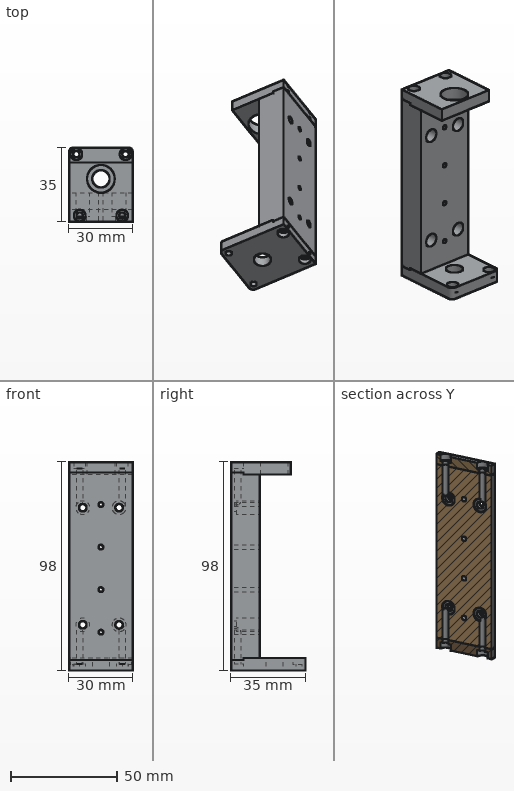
import cadquery as cq

width = 30.0
height = 98.0
column_depth = 13.5
top_plate_depth = 28.0
bottom_plate_depth = 35.0

plate_thickness = 6.0
step_height = 1.0
step_depth = 5.8
corner_radius = 2.2

screw_diameter = 2.9
screw_head_diameter = 5.5
screw_head_depth = 3.0
joint_screw_x = 10.0
joint_screw_y = 3.0
joint_hole_depth = 15.7
motor_screw_x = 11.6
motor_screw_y = bottom_plate_depth - 3.1

shaft_y = 20.3
top_bore_diameter = 13.0
bottom_bore_diameter = 8.0

mount_diameter = 3.4
mount_head_diameter = 6.5
mount_front_wall = 2.5
mount_x = 8.5
mount_z = 27.5

row_diameter = 2.1
row_count = 4
row_pitch = 20.0
row_center_z = -1.0

half_height = height / 2
shoulder_z = half_height - plate_thickness
tongue_z = shoulder_z + step_height


def box(x_size, y_start, y_end, z_start, z_end):
    """Box centred on X between the given Y and Z limits."""
    return cq.Workplane("XY").box(
        x_size, y_end - y_start, z_end - z_start, centered=(True, False, False)
    ).translate((0, y_start, z_start))


def rod_z(diameter, x, y, z_start, z_end):
    """Upright cylinder used as a cutter."""
    return cq.Workplane("XY", origin=(x, y, z_start)).circle(diameter / 2).extrude(z_end - z_start)


def rod_y(diameter, x, z, y_start, y_end):
    """Cylinder along Y used as a cutter."""
    cutter = cq.Workplane("XZ", origin=(x, y_start, z)).circle(diameter / 2)
    return cutter.extrude(y_start - y_end)


def make_plate_blank(depth):
    """Stepped plate at the top end with its counterbored joint screw holes."""
    plate = box(width, 0, depth, shoulder_z, half_height)
    plate = plate.cut(box(width, 0, step_depth, shoulder_z, tongue_z))
    for x in (-joint_screw_x, joint_screw_x):
        plate = plate.cut(rod_z(screw_diameter, x, joint_screw_y, shoulder_z, half_height))
        head_z = half_height - screw_head_depth
        plate = plate.cut(rod_z(screw_head_diameter, x, joint_screw_y, head_z, half_height))
    return plate


def make_top_plate():
    plate = make_plate_blank(top_plate_depth)
    return plate.cut(rod_z(top_bore_diameter, 0, shaft_y, shoulder_z, half_height))


def make_bottom_plate():
    plate = make_plate_blank(bottom_plate_depth).mirror("XY")
    plate = plate.edges("|Z and >Y").fillet(corner_radius)
    plate = plate.cut(rod_z(bottom_bore_diameter, 0, shaft_y, -half_height, -shoulder_z))
    for x in (-motor_screw_x, motor_screw_x):
        plate = plate.cut(rod_z(screw_diameter, x, motor_screw_y, -half_height, -shoulder_z))
        head_z = -shoulder_z - screw_head_depth
        plate = plate.cut(rod_z(screw_head_diameter, x, motor_screw_y, head_z, -shoulder_z))
    return plate


def make_column():
    column = box(width, 0, column_depth, -shoulder_z, shoulder_z)
    column = column.union(box(width, 0, step_depth, -tongue_z, tongue_z))

    for x in (-mount_x, mount_x):
        for z in (-mount_z, mount_z):
            column = column.cut(rod_y(mount_diameter, x, z, 0, column_depth))
            column = column.cut(rod_y(mount_head_diameter, x, z, mount_front_wall, column_depth))

    for x in (-joint_screw_x, joint_screw_x):
        hole_end_z = tongue_z - joint_hole_depth
        column = column.cut(rod_z(screw_diameter, x, joint_screw_y, hole_end_z, tongue_z))
        column = column.cut(rod_z(screw_diameter, x, joint_screw_y, -tongue_z, -hole_end_z))

    for index in range(row_count):
        z = row_center_z + (index - (row_count - 1) / 2) * row_pitch
        column = column.cut(rod_y(row_diameter, 0, z, 0, column_depth))
    return column


column = make_column()
top_plate = make_top_plate()
bottom_plate = make_bottom_plate()

result = cq.Compound.makeCompound([column.val(), top_plate.val(), bottom_plate.val()])